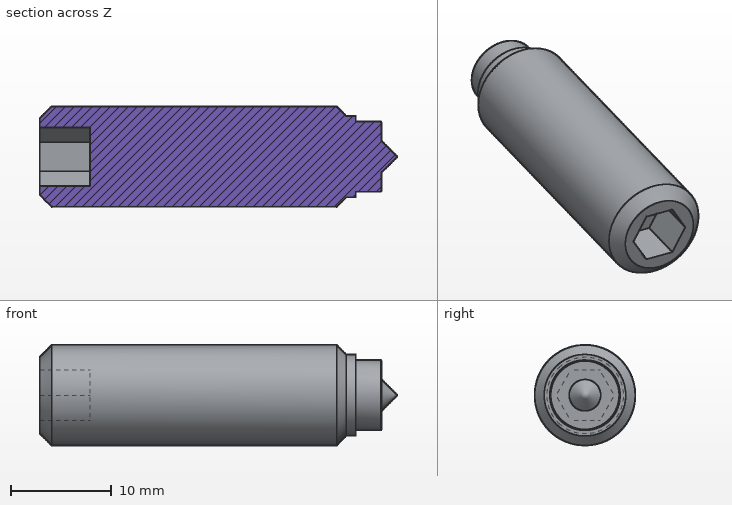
import cadquery as cq
import math

length = 35.5
body_diameter = 10.0
neck_diameter = 8.1
pin_diameter = 7.0
tip_diameter = 3.12

socket_end_chamfer = 1.2
body_end = 30.42
neck_end = 31.38
pin_edge_chamfer = 0.1

hex_across_flats = 5.0
hex_depth = 5.0

body_radius = body_diameter / 2
neck_radius = neck_diameter / 2
pin_radius = pin_diameter / 2
tip_radius = tip_diameter / 2
body_chamfer = body_radius - neck_radius
pin_end = length - tip_radius


def turned_body():
    """Revolve the half profile, drawn as (x, radius), about the X axis."""
    profile = [
        (0, 0),
        (0, body_radius - socket_end_chamfer),
        (socket_end_chamfer, body_radius),
        (body_end - body_chamfer, body_radius),
        (body_end, neck_radius),
        (neck_end, neck_radius),
        (neck_end, pin_radius),
        (pin_end - pin_edge_chamfer, pin_radius),
        (pin_end, pin_radius - pin_edge_chamfer),
        (pin_end, tip_radius),
        (length, 0),
    ]
    return cq.Workplane("XY").polyline(profile).close().revolve(360, (0, 0, 0), (1, 0, 0))


def hex_socket():
    """Hexagonal prism with corners on the Y axis and flats facing Z."""
    across_corners = hex_across_flats / math.cos(math.pi / 6)
    return cq.Workplane("YZ").polygon(6, across_corners).extrude(hex_depth)


result = turned_body().cut(hex_socket())